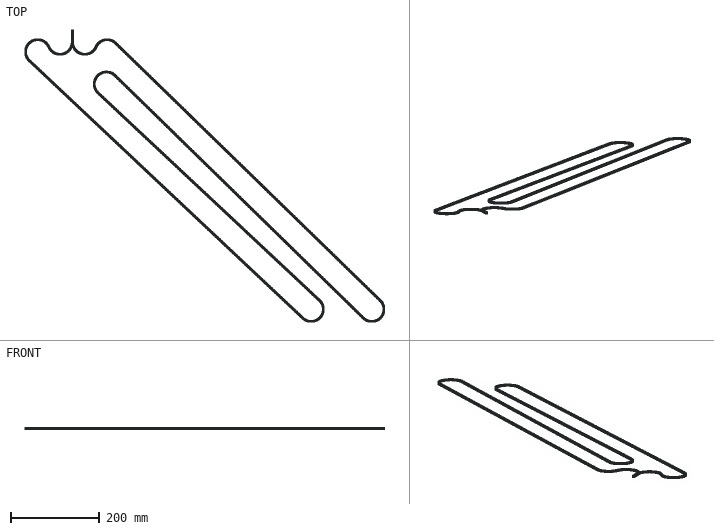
import cadquery as cq
import math


STRIP_HEIGHT = 2.1
STRIP_WIDTH = 1.1
OVERALL_X = 811.87
OVERALL_Y = 658.34
BEND_RADIUS = 27.5
TAIL_LENGTH = 26.06
SHOULDER_ANGLE = 23.45
LEFT_FOOT_X = 540.09
INNER_BEND = (76.96, -94.87)

BEND_REACH = BEND_RADIUS + STRIP_WIDTH / 2
NECK_X = BEND_REACH
SHOULDER_X = NECK_X + 2 * BEND_RADIUS * math.cos(math.radians(SHOULDER_ANGLE))
SHOULDER_Y = -2 * BEND_RADIUS * math.sin(math.radians(SHOULDER_ANGLE))
FOOT_Y = TAIL_LENGTH - OVERALL_Y + BEND_REACH
RIGHT_FOOT_X = OVERALL_X - SHOULDER_X - 2 * BEND_REACH

TOUCH_GAP = 0.01
UP = math.pi / 2
DOWN = -math.pi / 2
CCW = 1
CW = -1
LEFT_FACE = 1
RIGHT_FACE = -1

BENDS = [
    ((-NECK_X, 0), CW),
    ((-SHOULDER_X, SHOULDER_Y), CCW),
    ((LEFT_FOOT_X, FOOT_Y), CCW),
    (INNER_BEND, CW),
    ((RIGHT_FOOT_X, FOOT_Y), CCW),
    ((SHOULDER_X, SHOULDER_Y), CCW),
    ((NECK_X, 0), CW),
]


def run_heading(bend, next_bend):
    """Heading of the straight run that is tangent to two consecutive bends."""
    (x, y), turn = bend
    (next_x, next_y), next_turn = next_bend
    heading = math.atan2(next_y - y, next_x - x)
    if turn == next_turn:
        return heading
    distance = math.hypot(next_x - x, next_y - y)
    return heading + turn * math.asin(min(1, 2 * BEND_RADIUS / distance))


def point_on_bend(centre, radius, angle):
    return (
        centre[0] + radius * math.cos(angle),
        centre[1] + radius * math.sin(angle),
    )


def face_arcs(face):
    """Start, middle and end point of every bend along one face of the strip."""
    headings = [DOWN]
    for bend, next_bend in zip(BENDS, BENDS[1:]):
        headings.append(run_heading(bend, next_bend))
    headings.append(UP)

    arcs = []
    for (centre, turn), heading_in, heading_out in zip(BENDS, headings, headings[1:]):
        radius = BEND_RADIUS - face * turn * STRIP_WIDTH / 2
        start_angle = heading_in - turn * math.pi / 2
        sweep_angle = turn * ((heading_out - heading_in) * turn % (2 * math.pi))
        arcs.append([
            point_on_bend(centre, radius, start_angle + sweep_angle * fraction)
            for fraction in (0, 0.5, 1)
        ])
    return arcs


def draw_face(sketch, face):
    """Draws one face of the loop, from the tail round to the tail again."""
    arcs = face_arcs(face)
    position = arcs[0][0]
    sketch = sketch.moveTo(*position)
    for start, middle, end in arcs:
        if math.dist(position, start) > TOUCH_GAP:
            sketch = sketch.lineTo(*start)
        sketch = sketch.threePointArc(middle, end)
        position = end
    return sketch


def outer_outline(sketch):
    """Outer face of the loop, closed round the tail."""
    return (
        draw_face(sketch, RIGHT_FACE)
        .lineTo(STRIP_WIDTH, TAIL_LENGTH)
        .lineTo(-STRIP_WIDTH, TAIL_LENGTH)
        .close()
    )


def inner_outline(sketch):
    """Inner face of the loop, which starts and ends at the split."""
    return draw_face(sketch, LEFT_FACE).close()


outer = outer_outline(cq.Workplane("XY")).extrude(STRIP_HEIGHT)
opening = inner_outline(cq.Workplane("XY")).extrude(STRIP_HEIGHT)
result = outer.cut(opening)